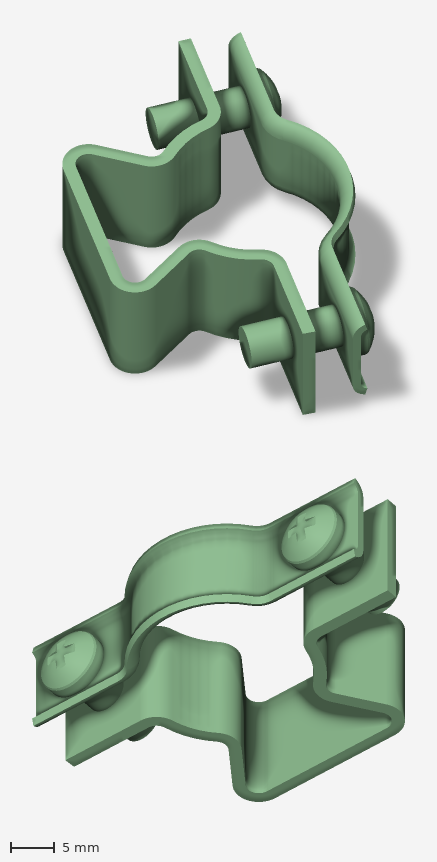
import cadquery as cq
import math

HALF_LENGTH = 23.45
PIPE_RADIUS = 9.95

BRACKET_WIDTH = 14.0
BRACKET_THICKNESS = 1.5
BRACKET_DEPTH = 19.98
FLANGE_TIP = 0.1
BASE_HALF_WIDTH = 11.75
WAIST_HALF_GAP = 6.0
INNER_BEND = 1.5
OUTER_BEND = INNER_BEND + BRACKET_THICKNESS

STRAP_WIDTH = 12.05
STRAP_THICKNESS = 1.0
STRAP_GAP = 4.5
STRAP_BEND = 4.0
CURL_RADIUS = 2.0
CURL_ANGLE = 75.0

SCREW_X = 17.55
SHANK_RADIUS = 2.5
SHANK_END_Y = -6.55
HEAD_RADIUS = 4.0
HEAD_RIM_HEIGHT = 1.45
RIM_TAPER_WIDTH = 0.15
RIM_TAPER_HEIGHT = 0.3
HEAD_HEIGHT = 3.25
CROSS_WIDTH = 1.25
CROSS_DEPTH = 0.38
HEAD_SEAT_Y = STRAP_GAP + STRAP_THICKNESS


def polar(center, radius, angle):
    """Point at a distance and an angle in radians from a center."""
    return cq.Vector(center[0] + radius * math.cos(angle), center[1] + radius * math.sin(angle))


def arc(center, radius, start, end):
    middle = (start + end) / 2
    return cq.Edge.makeThreePointArc(
        polar(center, radius, start), polar(center, radius, middle), polar(center, radius, end)
    )


def symmetric_path(left_edges, middle_edge):
    """Path of the left edges, the edge across the middle plane and the mirrored left edges."""
    right_edges = [edge.mirror("YZ") for edge in reversed(left_edges)]
    return cq.Workplane(cq.Wire.assembleEdges([*left_edges, middle_edge, *right_edges]))


def bracket_path():
    """Pipe-side surface of the bracket: flange, cradle, waist, leg and base."""
    pipe = (0, 0)
    flange_bend = (-math.sqrt((PIPE_RADIUS + OUTER_BEND) ** 2 - OUTER_BEND**2), -OUTER_BEND)
    waist_x = -(WAIST_HALF_GAP + OUTER_BEND)
    waist_bend = (waist_x, -math.sqrt((PIPE_RADIUS + OUTER_BEND) ** 2 - waist_x**2))
    base_bend = (OUTER_BEND - BASE_HALF_WIDTH, OUTER_BEND - BRACKET_DEPTH)

    cradle_start = math.pi + math.atan2(-flange_bend[1], -flange_bend[0])
    cradle_end = math.pi + math.atan2(-waist_bend[1], -waist_bend[0])

    run = base_bend[0] - waist_bend[0]
    drop = base_bend[1] - waist_bend[1]
    leg_normal = math.atan2(drop, run) + math.acos((OUTER_BEND + INNER_BEND) / math.hypot(run, drop))
    leg_top = polar(waist_bend, OUTER_BEND, leg_normal)
    leg_bottom = polar(base_bend, INNER_BEND, leg_normal + math.pi)
    base_end = polar(base_bend, INNER_BEND, 1.5 * math.pi)

    left_edges = [
        cq.Edge.makeLine(cq.Vector(-HALF_LENGTH, 0), cq.Vector(flange_bend[0], 0)),
        arc(flange_bend, OUTER_BEND, math.pi / 2, cradle_start - math.pi),
        arc(pipe, PIPE_RADIUS, cradle_start, cradle_end),
        arc(waist_bend, OUTER_BEND, cradle_end - math.pi, leg_normal),
        cq.Edge.makeLine(leg_top, leg_bottom),
        arc(base_bend, INNER_BEND, leg_normal + math.pi, 1.5 * math.pi),
    ]
    base = cq.Edge.makeLine(base_end, cq.Vector(-base_end.x, base_end.y))
    return symmetric_path(left_edges, base)


def strap_path():
    """Pipe-side surface of the strap: flats joined to an arch over the pipe."""
    bend_y = STRAP_GAP + STRAP_BEND
    bend = (-math.sqrt((PIPE_RADIUS + STRAP_BEND) ** 2 - bend_y**2), bend_y)
    arch_start = math.atan2(bend[1], bend[0])
    left_edges = [
        cq.Edge.makeLine(cq.Vector(-HALF_LENGTH, STRAP_GAP), cq.Vector(bend[0], STRAP_GAP)),
        arc(bend, STRAP_BEND, -math.pi / 2, arch_start - math.pi),
    ]
    arch = arc((0, 0), PIPE_RADIUS, arch_start, math.pi - arch_start)
    return symmetric_path(left_edges, arch)


def strap_section():
    """Channel section at the -X end, its web on the strap flat and its edges curled to +Y."""
    curl = math.radians(CURL_ANGLE)
    inner_radius = CURL_RADIUS - STRAP_THICKNESS
    center_y = STRAP_GAP + CURL_RADIUS
    center_z = STRAP_WIDTH / 2 - CURL_RADIUS * math.sin(curl)

    def on_curl(radius, angle, side):
        return (center_y - radius * math.cos(angle), side * (center_z + radius * math.sin(angle)))

    return (
        cq.Workplane("YZ", origin=(-HALF_LENGTH, 0, 0))
        .moveTo(*on_curl(CURL_RADIUS, 0, -1))
        .lineTo(*on_curl(CURL_RADIUS, 0, 1))
        .threePointArc(on_curl(CURL_RADIUS, curl / 2, 1), on_curl(CURL_RADIUS, curl, 1))
        .lineTo(*on_curl(inner_radius, curl, 1))
        .threePointArc(on_curl(inner_radius, curl / 2, 1), on_curl(inner_radius, 0, 1))
        .lineTo(*on_curl(inner_radius, 0, -1))
        .threePointArc(on_curl(inner_radius, curl / 2, -1), on_curl(inner_radius, curl, -1))
        .lineTo(*on_curl(CURL_RADIUS, curl, -1))
        .threePointArc(on_curl(CURL_RADIUS, curl / 2, -1), on_curl(CURL_RADIUS, 0, -1))
        .close()
    )


def cut_screw_holes(body):
    """Holes along Y that fit the screw shanks."""
    for side in (-1, 1):
        hole = (
            cq.Workplane("XZ", origin=(side * SCREW_X, 0, 0))
            .circle(SHANK_RADIUS)
            .extrude(HALF_LENGTH, both=True)
        )
        body = body.cut(hole)
    return body


def slanted_flange_end():
    """Thin wedge that slants the +X end of the bracket."""
    return (
        cq.Workplane("XY")
        .moveTo(HALF_LENGTH, 0)
        .lineTo(HALF_LENGTH + FLANGE_TIP, 0)
        .lineTo(HALF_LENGTH, -BRACKET_THICKNESS)
        .close()
        .extrude(BRACKET_WIDTH / 2, both=True)
    )


def make_bracket():
    section = cq.Workplane("YZ", origin=(-HALF_LENGTH, -BRACKET_THICKNESS / 2, 0)).rect(
        BRACKET_THICKNESS, BRACKET_WIDTH
    )
    strip = section.sweep(bracket_path())
    return cut_screw_holes(strip.union(slanted_flange_end()))


def make_strap():
    return cut_screw_holes(strap_section().sweep(strap_path()))


def make_screw(x):
    """Domed screw with a tapered rim and a shallow cross recess, its head on the strap."""
    dome_radius = HEAD_RADIUS - RIM_TAPER_WIDTH
    dome_base = HEAD_SEAT_Y + HEAD_RIM_HEIGHT + RIM_TAPER_HEIGHT
    top = HEAD_SEAT_Y + HEAD_HEIGHT
    rise = top - dome_base
    sphere_radius = (dome_radius**2 + rise**2) / (2 * rise)
    half_angle = math.asin(dome_radius / sphere_radius) / 2
    dome_middle = (
        sphere_radius * math.sin(half_angle),
        top - sphere_radius * (1 - math.cos(half_angle)),
    )
    screw = (
        cq.Workplane("XY")
        .moveTo(0, SHANK_END_Y)
        .lineTo(SHANK_RADIUS, SHANK_END_Y)
        .lineTo(SHANK_RADIUS, HEAD_SEAT_Y)
        .lineTo(HEAD_RADIUS, HEAD_SEAT_Y)
        .lineTo(HEAD_RADIUS, HEAD_SEAT_Y + HEAD_RIM_HEIGHT)
        .lineTo(dome_radius, dome_base)
        .threePointArc(dome_middle, (0, top))
        .close()
        .revolve(360, (0, 0), (0, 1))
    )
    arm = 2 * HEAD_RADIUS
    for size_x, size_z in ((arm, CROSS_WIDTH), (CROSS_WIDTH, arm)):
        slot = cq.Workplane("XY").box(size_x, 2 * CROSS_DEPTH, size_z)
        screw = screw.cut(slot.translate((0, top, 0)))
    return screw.translate((x, 0, 0))


bracket = make_bracket()
strap = make_strap()
screws = [make_screw(side * SCREW_X) for side in (-1, 1)]

result = cq.Compound.makeCompound(
    [bracket.solids().val(), strap.solids().val(), *[screw.solids().val() for screw in screws]]
)